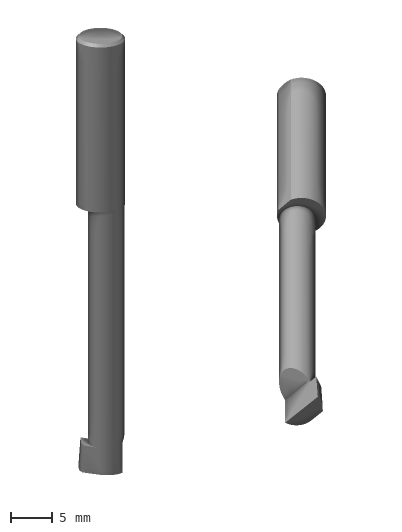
import cadquery as cq
import math

total_length = 57.0
shank_diameter = 6.0
shank_radius = shank_diameter / 2
shank_length = 22.0
shank_chamfer = 0.35
width_over_flat = 5.75
flat_offset = width_over_flat - shank_radius

neck_radius = 2.2
neck_x = shank_radius - neck_radius
shank_bottom = total_length - shank_length

rake_height = 4.2
runout_height = 2.0

tip_height = 3.9
tip_draft = 0.3
corner_x = -shank_radius
relief_x = -2.15
relief_y = -1.55
heel_x = -1.4
end_angle_x = 2.0
end_angle_y = 6.0

clearance = 2.85
cutter_width = 4 * shank_diameter


def make_shank():
    shank = (
        cq.Workplane("XY", origin=(0, 0, shank_bottom))
        .circle(shank_radius)
        .extrude(shank_length)
        .faces(">Z")
        .chamfer(shank_chamfer)
    )
    flat_cutter = (
        cq.Workplane("XY", origin=(0, flat_offset, shank_bottom))
        .rect(cutter_width, clearance, centered=(True, False))
        .extrude(shank_length)
    )
    return shank.cut(flat_cutter)


def make_neck():
    neck = cq.Workplane("XY").center(neck_x, 0).circle(neck_radius).extrude(shank_bottom)
    slope = runout_height / neck_radius
    reach = neck_radius + clearance
    half_cutter = (
        cq.Workplane("YZ")
        .moveTo(0, -clearance)
        .lineTo(0, rake_height)
        .lineTo(reach, rake_height + slope * reach)
        .lineTo(reach, -clearance)
        .close()
        .extrude(shank_diameter, both=True)
    )
    return neck.cut(half_cutter)


def tip_outline(shift):
    """Tip section with its cutting flank moved by shift along X."""
    return [
        (corner_x + shift, 0),
        (relief_x + shift, relief_y),
        (heel_x + shift, -neck_radius),
        (neck_x, -neck_radius),
        (neck_x, 0),
    ]


def make_tip():
    return (
        cq.Workplane("XY")
        .polyline(tip_outline(0))
        .close()
        .workplane(offset=tip_height)
        .polyline(tip_outline(tip_draft))
        .close()
        .loft(ruled=True)
    )


def make_end_cutter():
    """Block below the end face, which rises toward +X and -Y from the cutting corner."""
    end_normal = (
        -math.tan(math.radians(end_angle_x)),
        math.tan(math.radians(end_angle_y)),
        1,
    )
    end_plane = cq.Plane(origin=(corner_x, 0, 0), normal=end_normal)
    return cq.Workplane(end_plane).rect(cutter_width, cutter_width).extrude(-clearance)


result = make_shank().union(make_neck()).union(make_tip()).cut(make_end_cutter())